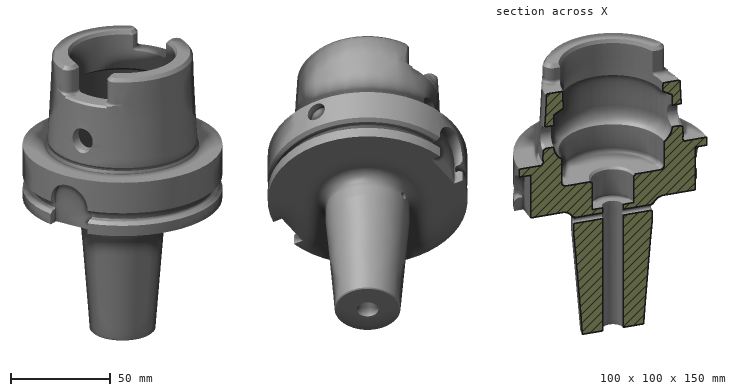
import cadquery as cq
import math


SHANK_LENGTH = 50.0
TAPER_RADIUS_AT_FACE = 37.68
TAPER_SLOPE = 1 / 20
TOP_CHAMFER_WIDTH = 1.4
TOP_CHAMFER_HEIGHT = 1.8

RELIEF_TOP_Z = 2.7
NECK_TOP_Z = 1.8
NECK_BOTTOM_Z = 1.0
NECK_RADIUS = 37.2
RECESS_DEPTH = 0.25
RECESS_INNER_RADIUS = 38.4
RECESS_OUTER_RADIUS = 39.3

FLANGE_RADIUS = 50.0
FLANGE_THICKNESS = 29.0
GROOVE_CENTRE_Z = -20.0
GROOVE_MOUTH_HALF = 3.4
GROOVE_HALF = 1.95
GROOVE_LIP_RADIUS = 48.2
GROOVE_FLOOR_RADIUS = 45.9
GROOVE_FILLET = 0.7

NOSE_END_Z = -100.0
NOSE_RADIUS = 21.0
NOSE_FILLET = 6.0
NOSE_CYLINDER_END_Z = -42.7
NOSE_TIP_RADIUS = 16.5
NOSE_TIP_CHAMFER = 0.5

BORE_RADIUS = 26.5
BORE_CHAMFER = 0.9
LIP_Z = 30.0
CLAMP_RADIUS = 31.5
CLAMP_SHOULDER_ANGLE = 30.0
CLAMP_BOTTOM_Z = 9.8
SHOULDER_FILLET = 10.0
LOWER_RADIUS = 27.3
CAVITY_FLOOR_Z = -14.0
CAVITY_FLOOR_FILLET = 2.3
TUBE_RADIUS = 11.0
TUBE_CHAMFER = 1.1
TUBE_BOTTOM_Z = -30.0
THROUGH_RADIUS = 5.45

DRIVE_HALF_WIDTH = 9.8
DRIVE_STRAIGHT_END_Y = 27.4
DRIVE_FLARE_DISTANCE = 35.7
DRIVE_EDGE_CHAMFER = 1.6
DRIVE_FLOOR_FILLET = 1.6
DRIVE_RIM_CHAMFER = 0.9
DRIVE_RIM_HALF_WIDTH = 12.5
FRONT_DRIVE_FLOOR_Z = 35.0
BACK_DRIVE_FLOOR_Z = 40.0

KEYWAY_FLOOR_Y = 44.0
KEYWAY_TOP_Z = -4.8
FRONT_KEYWAY_WIDTH = 22.0
BACK_KEYWAY_WIDTH = 20.0

ACCESS_DIAMETER = 12.0
ACCESS_Z = 15.2
ACCESS_RELIEF_DIAMETER = 11.8
ACCESS_RELIEF_TILT = 30.0
FLANGE_HOLE_DIAMETER = 10.0
FLANGE_HOLE_DEPTH = 4.0
FLANGE_HOLE_Z = -7.0
COOLANT_DIAMETER = 3.0
COOLANT_MOUTH_DIAMETER = 4.2
COOLANT_Z = -34.6

CLEARANCE = 20.0


def taper_radius(z):
    return TAPER_RADIUS_AT_FACE - TAPER_SLOPE * z


def outer_body():
    """Revolved shank, flange and nose, with no openings."""
    chamfer_z = SHANK_LENGTH - TOP_CHAMFER_HEIGHT
    chamfer_radius = taper_radius(chamfer_z)
    nose_fillet_z = -FLANGE_THICKNESS - NOSE_FILLET
    groove_fillet_start = GROOVE_FLOOR_RADIUS + GROOVE_FILLET
    groove_fillet_z = GROOVE_HALF - GROOVE_FILLET
    diagonal = math.sqrt(0.5)
    groove_mid_radius = groove_fillet_start - GROOVE_FILLET * diagonal
    groove_mid_z = groove_fillet_z + GROOVE_FILLET * diagonal
    nose_mid_radius = NOSE_RADIUS + NOSE_FILLET * (1 - diagonal)
    nose_mid_z = nose_fillet_z + NOSE_FILLET * diagonal
    profile = (
        cq.Workplane("XZ")
        .moveTo(0, SHANK_LENGTH)
        .lineTo(chamfer_radius - TOP_CHAMFER_WIDTH, SHANK_LENGTH)
        .lineTo(chamfer_radius, chamfer_z)
        .lineTo(taper_radius(RELIEF_TOP_Z), RELIEF_TOP_Z)
        .lineTo(NECK_RADIUS, NECK_TOP_Z)
        .lineTo(NECK_RADIUS, NECK_BOTTOM_Z)
        .lineTo(RECESS_INNER_RADIUS, -RECESS_DEPTH)
        .lineTo(RECESS_OUTER_RADIUS, 0)
        .lineTo(FLANGE_RADIUS, 0)
        .lineTo(FLANGE_RADIUS, GROOVE_CENTRE_Z + GROOVE_MOUTH_HALF)
        .lineTo(GROOVE_LIP_RADIUS, GROOVE_CENTRE_Z + GROOVE_HALF)
        .lineTo(groove_fillet_start, GROOVE_CENTRE_Z + GROOVE_HALF)
        .threePointArc(
            (groove_mid_radius, GROOVE_CENTRE_Z + groove_mid_z),
            (GROOVE_FLOOR_RADIUS, GROOVE_CENTRE_Z + groove_fillet_z),
        )
        .lineTo(GROOVE_FLOOR_RADIUS, GROOVE_CENTRE_Z - groove_fillet_z)
        .threePointArc(
            (groove_mid_radius, GROOVE_CENTRE_Z - groove_mid_z),
            (groove_fillet_start, GROOVE_CENTRE_Z - GROOVE_HALF),
        )
        .lineTo(GROOVE_LIP_RADIUS, GROOVE_CENTRE_Z - GROOVE_HALF)
        .lineTo(FLANGE_RADIUS, GROOVE_CENTRE_Z - GROOVE_MOUTH_HALF)
        .lineTo(FLANGE_RADIUS, -FLANGE_THICKNESS)
        .lineTo(NOSE_RADIUS + NOSE_FILLET, -FLANGE_THICKNESS)
        .threePointArc((nose_mid_radius, nose_mid_z), (NOSE_RADIUS, nose_fillet_z))
        .lineTo(NOSE_RADIUS, NOSE_CYLINDER_END_Z)
        .lineTo(NOSE_TIP_RADIUS, NOSE_END_Z + NOSE_TIP_CHAMFER)
        .lineTo(NOSE_TIP_RADIUS - NOSE_TIP_CHAMFER, NOSE_END_Z)
        .lineTo(0, NOSE_END_Z)
        .close()
    )
    return profile.revolve(360, (0, 0, 0), (0, 1, 0))


def cavity():
    """Revolved clamping cavity, coolant tube seat and through bore."""
    clamp_drop = (CLAMP_RADIUS - BORE_RADIUS) * math.tan(math.radians(CLAMP_SHOULDER_ANGLE))
    shoulder_centre_radius = CLAMP_RADIUS - SHOULDER_FILLET
    shoulder_angle = math.acos((LOWER_RADIUS - shoulder_centre_radius) / SHOULDER_FILLET)
    shoulder_end_z = CLAMP_BOTTOM_Z - SHOULDER_FILLET * math.sin(shoulder_angle)
    shoulder_mid_radius = shoulder_centre_radius + SHOULDER_FILLET * math.cos(shoulder_angle / 2)
    shoulder_mid_z = CLAMP_BOTTOM_Z - SHOULDER_FILLET * math.sin(shoulder_angle / 2)
    floor_fillet_z = CAVITY_FLOOR_Z + CAVITY_FLOOR_FILLET
    floor_edge_radius = LOWER_RADIUS - CAVITY_FLOOR_FILLET
    floor_mid_radius = floor_edge_radius + CAVITY_FLOOR_FILLET * math.sqrt(0.5)
    floor_mid_z = floor_fillet_z - CAVITY_FLOOR_FILLET * math.sqrt(0.5)
    profile = (
        cq.Workplane("XZ")
        .moveTo(0, SHANK_LENGTH)
        .lineTo(BORE_RADIUS + BORE_CHAMFER, SHANK_LENGTH)
        .lineTo(BORE_RADIUS, SHANK_LENGTH - TOP_CHAMFER_HEIGHT)
        .lineTo(BORE_RADIUS, LIP_Z)
        .lineTo(CLAMP_RADIUS, LIP_Z - clamp_drop)
        .lineTo(CLAMP_RADIUS, CLAMP_BOTTOM_Z)
        .threePointArc((shoulder_mid_radius, shoulder_mid_z), (LOWER_RADIUS, shoulder_end_z))
        .lineTo(LOWER_RADIUS, floor_fillet_z)
        .threePointArc((floor_mid_radius, floor_mid_z), (floor_edge_radius, CAVITY_FLOOR_Z))
        .lineTo(TUBE_RADIUS + TUBE_CHAMFER, CAVITY_FLOOR_Z)
        .lineTo(TUBE_RADIUS, CAVITY_FLOOR_Z - TUBE_CHAMFER)
        .lineTo(TUBE_RADIUS, TUBE_BOTTOM_Z)
        .lineTo(THROUGH_RADIUS, TUBE_BOTTOM_Z)
        .lineTo(THROUGH_RADIUS, NOSE_END_Z)
        .lineTo(0, NOSE_END_Z)
        .close()
    )
    return profile.revolve(360, (0, 0, 0), (0, 1, 0))


def drive_outline(offset, z):
    """Slot outline on the +Y side: straight walls, rounded corners, flared mouth.

    A positive offset widens the slot by moving its walls into the shank.
    """
    corner_radius = (DRIVE_FLARE_DISTANCE**2 - DRIVE_HALF_WIDTH**2 - DRIVE_STRAIGHT_END_Y**2) / (
        2 * (DRIVE_HALF_WIDTH + DRIVE_FLARE_DISTANCE)
    )
    centre_x = DRIVE_HALF_WIDTH + corner_radius
    centre_y = DRIVE_STRAIGHT_END_Y
    flare_direction = math.atan2(centre_y, centre_x)
    mid_direction = (math.pi + flare_direction) / 2
    radius = corner_radius - offset

    wall_x = DRIVE_HALF_WIDTH + offset
    mid_x = centre_x + radius * math.cos(mid_direction)
    mid_y = centre_y + radius * math.sin(mid_direction)
    flare_x = centre_x + radius * math.cos(flare_direction)
    flare_y = centre_y + radius * math.sin(flare_direction)
    end_x = flare_x + CLEARANCE * math.sin(flare_direction)
    end_y = flare_y - CLEARANCE * math.cos(flare_direction)
    inner_y = BORE_RADIUS / 2
    outer_y = FLANGE_RADIUS
    return (
        cq.Workplane("XY", origin=(0, 0, z))
        .moveTo(-wall_x, inner_y)
        .lineTo(wall_x, inner_y)
        .lineTo(wall_x, centre_y)
        .threePointArc((mid_x, mid_y), (flare_x, flare_y))
        .lineTo(end_x, end_y)
        .lineTo(end_x, outer_y)
        .lineTo(-end_x, outer_y)
        .lineTo(-end_x, end_y)
        .lineTo(-flare_x, flare_y)
        .threePointArc((-mid_x, mid_y), (-wall_x, centre_y))
        .close()
    )


def drive_edge_chamfer():
    """Cutter that bevels the top edges along the drive slot walls."""
    bottom = drive_outline(0, SHANK_LENGTH - TOP_CHAMFER_HEIGHT).wires().val()
    top = drive_outline(DRIVE_EDGE_CHAMFER, SHANK_LENGTH).wires().val()
    return cq.Workplane(cq.Solid.makeLoft([bottom, top], True))


def drive_rim_chamfer(floor_z):
    """Cutter that bevels the outer rim of the slot floor, between the flared corners."""
    rim_radius = taper_radius(floor_z)
    ring = (
        cq.Workplane("XZ")
        .moveTo(rim_radius - DRIVE_RIM_CHAMFER, floor_z)
        .lineTo(rim_radius + DRIVE_RIM_CHAMFER, floor_z)
        .lineTo(rim_radius + DRIVE_RIM_CHAMFER, floor_z - 2 * DRIVE_RIM_CHAMFER)
        .close()
        .revolve(360, (0, 0, 0), (0, 1, 0))
    )
    window = cq.Workplane("XY").box(
        2 * DRIVE_RIM_HALF_WIDTH, FLANGE_RADIUS, 2 * SHANK_LENGTH, centered=(True, False, True)
    )
    return ring.intersect(window)


def drive_slot(floor_z):
    """Cutter for the +Y drive slot, with filleted floor and chamfered edges."""
    slot = drive_outline(0, floor_z).extrude(SHANK_LENGTH - floor_z)
    slot = slot.faces("<Z").edges().fillet(DRIVE_FLOOR_FILLET)
    return slot.union(drive_edge_chamfer()).union(drive_rim_chamfer(floor_z))


def keyway(width):
    """Cutter for the +Y flange keyway: flat floor, round top end, open downward."""
    centre_z = KEYWAY_TOP_Z - width / 2
    return (
        cq.Workplane("XZ", origin=(0, KEYWAY_FLOOR_Y, 0))
        .moveTo(-width / 2, -FLANGE_THICKNESS)
        .lineTo(-width / 2, centre_z)
        .threePointArc((0, KEYWAY_TOP_Z), (width / 2, centre_z))
        .lineTo(width / 2, -FLANGE_THICKNESS)
        .close()
        .extrude(-CLEARANCE)
    )


def turned_to_front(cutter):
    """Turn a +Y cutter round to the -Y side."""
    return cutter.rotate((0, 0, 0), (0, 0, 1), 180)


def access_hole():
    """Cutter for the +Y clamp access hole, with a tilted relief at the mouth's lower half."""
    start = cq.Workplane("XZ", origin=(0, 0, ACCESS_Z))
    hole = start.circle(ACCESS_DIAMETER / 2).extrude(-FLANGE_RADIUS)
    relief_start = cq.Vector(0, taper_radius(ACCESS_Z), ACCESS_Z)
    tilt = math.radians(ACCESS_RELIEF_TILT)
    relief_direction = cq.Vector(0, math.cos(tilt), -math.sin(tilt))
    relief = cq.Solid.makeCylinder(
        ACCESS_RELIEF_DIAMETER / 2, CLEARANCE, relief_start, relief_direction
    )
    return hole.union(cq.Workplane(relief))


def flange_hole():
    """Cutter for the blind hole in the -X side of the flange."""
    return (
        cq.Workplane("YZ", origin=(-FLANGE_RADIUS, 0, FLANGE_HOLE_Z))
        .circle(FLANGE_HOLE_DIAMETER / 2)
        .extrude(FLANGE_HOLE_DEPTH)
    )


def coolant_hole():
    """Cutter for the +Y radial coolant hole, countersunk at the nose surface."""
    mouth_radius = COOLANT_MOUTH_DIAMETER / 2
    depth = mouth_radius - COOLANT_DIAMETER / 2
    start = cq.Workplane("XZ", origin=(0, 0, COOLANT_Z))
    hole = start.circle(COOLANT_DIAMETER / 2).extrude(-NOSE_RADIUS - NOSE_FILLET)
    countersink = cq.Solid.makeCone(
        COOLANT_DIAMETER / 2,
        mouth_radius,
        depth,
        cq.Vector(0, NOSE_RADIUS - depth, COOLANT_Z),
        cq.Vector(0, 1, 0),
    )
    return hole.union(cq.Workplane(countersink))


result = outer_body().cut(cavity())
result = result.cut(drive_slot(BACK_DRIVE_FLOOR_Z)).cut(turned_to_front(drive_slot(FRONT_DRIVE_FLOOR_Z)))
result = result.cut(keyway(BACK_KEYWAY_WIDTH)).cut(turned_to_front(keyway(FRONT_KEYWAY_WIDTH)))
for hole in (access_hole(), coolant_hole()):
    result = result.cut(hole).cut(turned_to_front(hole))
result = result.cut(flange_hole())